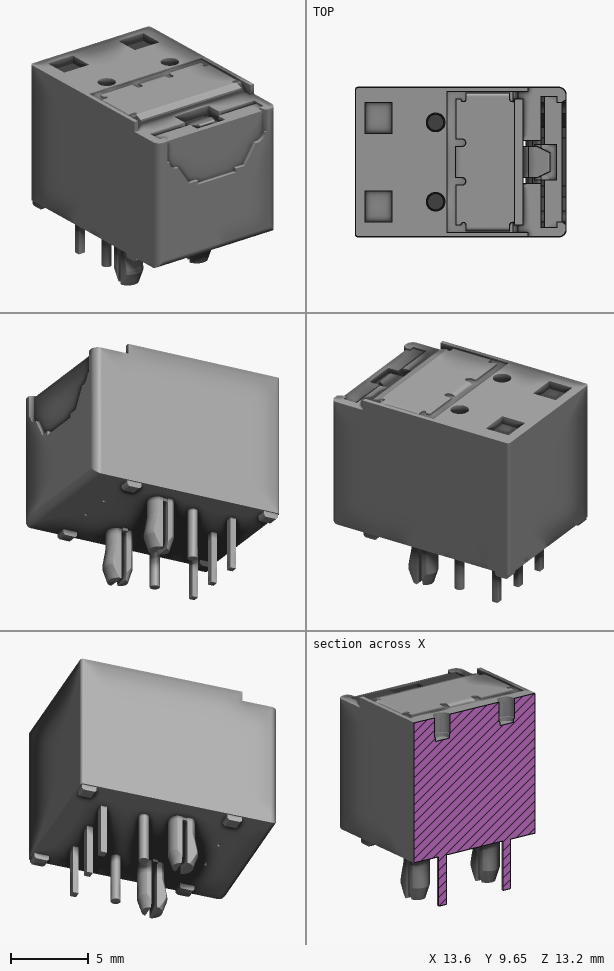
import cadquery as cq


LENGTH = 13.6
WIDTH = 9.65
TOP = 9.62
DECK_DROP = 0.7
DECK = TOP - DECK_DROP
DECK_START = 11.14
REAR_RADIUS = 0.2
FRONT_RADIUS = 0.5

POCKET_START, POCKET_END = 0.64, 2.38
POCKET_INNER, POCKET_OUTER = 1.85, 3.85
POCKET_DEPTH = 0.55
PIN_ROW = 2.55
POST_X = 5.18
HOLE_DIAMETER, HOLE_DEPTH = 1.2, 1.36
INNER_HOLE_DIAMETER, INNER_HOLE_DEPTH = 1.05, 1.63

RECESS_START = 5.92
RECESS_HALF_WIDTH = 4.54
RECESS_RAMP_START, RECESS_RAMP_END = 10.16, 10.49
PLATE_THICKNESS = 0.14
PLATE_FLOOR = TOP - PLATE_THICKNESS
PLATE_START = 6.5
PLATE_HALF_WIDTH = 4.07
PLATE_BEND_START, PLATE_BEND_END = 10.27, 10.38
PLATE_BEND_DROP = 0.04
PLATE_LIP_END = 10.83
PLATE_LIP_DROP = 0.18
SIDE_TAB_START, SIDE_TAB_END = 7.14, 9.95
SIDE_TAB_BEND, SIDE_TAB_TIP = 4.22, 4.45
SIDE_RELIEF_WIDTH = 0.33
SIDE_RELIEF_BOTTOM = 3.89
REAR_TAB_BEND, REAR_TAB_TIP = 6.84, 6.45
REAR_TAB_HALF_WIDTH = 1.0
REAR_RELIEF_WIDTH = 0.48
REAR_RELIEF_END = 7.13

PANEL_DROP = 0.14
PANEL_TOP = DECK - PANEL_DROP
OPENING_START = 11.98
OPENING_STEP = 13.02
OPENING_HALF_WIDTH = 4.22
MOUTH_HALF_WIDTH = 3.85
MOUTH_FLARE = 0.18
PANEL_START, PANEL_END = 12.21, 13.33
GAP_SHELF = 6.8
GAP_STEP = 5.44
GAP_FLOOR = 5.17
GAP_FILLET = 0.58
GAP_SLOPE_OUTER, GAP_SLOPE_INNER = 3.14, 2.25
GAP_TRENCH_HALF_WIDTH = 1.54
CHANNEL_START = PLATE_LIP_END
CHANNEL_HALF_WIDTH = 1.39
CHANNEL_FLOOR = 7.48
CHANNEL_STEP_HEIGHT = 0.2
CHANNEL_STEPS = (11.14, 11.41)
CHANNEL_HOLE_END = 11.0
NOTCH_END = 12.96
NOTCH_HALF_WIDTH = 1.14
NOTCH_DEPTH = 0.41
NOTCH_FLOOR = PANEL_TOP - NOTCH_DEPTH
SHOULDER_START, SHOULDER_END = 11.53, 12.1
TONGUE_START, TONGUE_SHOULDER, TONGUE_TIP = 11.15, 11.74, 12.55
TONGUE_ROOT_Z, TONGUE_TIP_Z = 8.38, 8.77
TONGUE_ROOT_STEP = 0.08
TONGUE_HALF_WIDTH = REAR_TAB_HALF_WIDTH
TONGUE_TIP_HALF_WIDTH = 0.6
TONGUE_TIP_RADIUS = 0.1

PIN_LENGTH = 3.54
PIN_X, PIN_THICKNESS, PIN_WIDTH = 2.34, 0.41, 0.5
POST_DIAMETER, POST_LENGTH = 0.65, 3.39
FOOT_HEIGHT, FOOT_CHAMFER = 0.38, 0.12
FOOT_LENGTH, FOOT_WIDTH = 1.0, 0.79
FOOT_INSET = 0.11
PEG_X, PEG_Y = 7.68, 2.79
PEG_DIAMETER = 1.65
PEG_SPREAD = 0.05
PEG_FLAT_WIDTH = 1.36
PEG_LENGTH = 3.5
PEG_SLOT = 0.37
PEG_TIP_TAPER_START = 2.6
PEG_REAR_TIP_RADIUS = 0.55
PEG_BARB_START, PEG_BARB_FULL = 1.18, 2.35
PEG_BARB_RADIUS, PEG_FRONT_TIP_RADIUS = 1.02, 0.72
WEB_HEIGHT, WEB_FILLET = 0.19, 0.11
WEB_SETBACK = 0.07
WEB_INNER_Y = 1.89

SIDES = (-1, 1)


def box(x0, x1, y0, y1, z0, z1):
    """Box between opposite corners; each pair may be given in either order."""
    size = (abs(x1 - x0), abs(y1 - y0), abs(z1 - z0))
    centre = ((x0 + x1) / 2, (y0 + y1) / 2, (z0 + z1) / 2)
    return cq.Workplane("XY").box(*size).translate(centre)


def extrude_across(points, half_width):
    """Extrude an XZ outline symmetrically about the middle of the width."""
    return cq.Workplane("XZ").polyline(points).close().extrude(half_width, both=True)


def cylinder(x, y, top, diameter, depth):
    """Upright cylinder that reaches down from its top level."""
    return cq.Workplane("XY", origin=(x, y, top - depth)).circle(diameter / 2).extrude(depth)


def make_housing():
    body = box(0, LENGTH, -WIDTH / 2, WIDTH / 2, 0, TOP)
    body = body.edges("|Z and <X").fillet(REAR_RADIUS)
    body = body.edges("|Z and >X").fillet(FRONT_RADIUS)
    side_shape = box(0, LENGTH, -WIDTH / 2, WIDTH / 2, 0, TOP)
    side_shape = side_shape.edges(">X and <Z").fillet(FRONT_RADIUS)
    body = body.intersect(side_shape)
    return body.cut(box(DECK_START, LENGTH, -WIDTH / 2, WIDTH / 2, DECK, TOP))


def cut_rear_openings(body):
    for side in SIDES:
        body = body.cut(box(POCKET_START, POCKET_END, side * POCKET_INNER, side * POCKET_OUTER,
                            TOP - POCKET_DEPTH, TOP))
        y = side * PIN_ROW
        body = body.cut(cylinder(POST_X, y, TOP, HOLE_DIAMETER, HOLE_DEPTH))
        body = body.cut(cylinder(POST_X, y, TOP, INNER_HOLE_DIAMETER, INNER_HOLE_DEPTH))
    return body


def make_recess():
    """Shallow pocket for the plate, with a ramp from its floor down to the deck level."""
    outline = [
        (RECESS_START, TOP), (RECESS_START, PLATE_FLOOR), (RECESS_RAMP_START, PLATE_FLOOR),
        (RECESS_RAMP_END, DECK), (DECK_START, DECK), (DECK_START, TOP),
    ]
    return extrude_across(outline, RECESS_HALF_WIDTH)


def make_tab(plane, bend, tip, length):
    """Plate edge that curls down, tangent to the plate at the bend, to the recess floor."""
    reach = tip - bend
    return (
        cq.Workplane(plane).moveTo(bend - reach, TOP).lineTo(bend, TOP)
        .tangentArcPoint((tip, PLATE_FLOOR), relative=False)
        .lineTo(bend - reach, PLATE_FLOOR).close().extrude(length / 2, both=True)
    )


def make_plate():
    outline = [
        (PLATE_START, PLATE_FLOOR), (PLATE_START, TOP), (PLATE_BEND_START, TOP),
        (PLATE_BEND_END, TOP - PLATE_BEND_DROP), (PLATE_LIP_END, TOP - PLATE_LIP_DROP),
        (PLATE_LIP_END, PLATE_FLOOR - PLATE_LIP_DROP), (RECESS_RAMP_START, PLATE_FLOOR),
    ]
    plate = extrude_across(outline, PLATE_HALF_WIDTH)

    tab_length = SIDE_TAB_END - SIDE_TAB_START
    tab_middle = (SIDE_TAB_START + SIDE_TAB_END) / 2
    side_tab = make_tab("YZ", SIDE_TAB_BEND, SIDE_TAB_TIP, tab_length).translate((tab_middle, 0, 0))
    plate = plate.union(side_tab).union(side_tab.mirror("XZ"))

    radius = SIDE_RELIEF_WIDTH / 2
    for side in SIDES:
        for x in (SIDE_TAB_START - radius, SIDE_TAB_END + radius):
            y = side * (SIDE_RELIEF_BOTTOM + radius)
            plate = plate.cut(cylinder(x, y, TOP, SIDE_RELIEF_WIDTH, PLATE_THICKNESS))
            plate = plate.cut(box(x - radius, x + radius, y, side * SIDE_TAB_TIP, PLATE_FLOOR, TOP))

    radius = REAR_RELIEF_WIDTH / 2
    slot_end = REAR_RELIEF_END - radius
    tab_zone = REAR_TAB_HALF_WIDTH + radius
    plate = plate.cut(box(PLATE_START, REAR_TAB_BEND, -tab_zone, tab_zone, PLATE_FLOOR, TOP))
    plate = plate.union(make_tab("XZ", REAR_TAB_BEND, REAR_TAB_TIP, 2 * REAR_TAB_HALF_WIDTH))
    for side in SIDES:
        y = side * tab_zone
        plate = plate.cut(cylinder(slot_end, y, TOP, REAR_RELIEF_WIDTH, PLATE_THICKNESS))
        plate = plate.cut(box(PLATE_START, slot_end, y - radius, y + radius, PLATE_FLOOR, TOP))
    return plate


def make_gap(x0, x1):
    """Deep slot across the mating end with a shelf, a slope and a trench towards the middle."""
    fillet_end = MOUTH_HALF_WIDTH - GAP_FILLET
    half = (
        cq.Workplane("YZ", origin=(x0, 0, 0))
        .moveTo(0, DECK).lineTo(MOUTH_HALF_WIDTH, DECK)
        .lineTo(MOUTH_HALF_WIDTH, GAP_SHELF + GAP_FILLET)
        .tangentArcPoint((fillet_end, GAP_SHELF), relative=False)
        .lineTo(GAP_SLOPE_OUTER, GAP_SHELF).lineTo(GAP_SLOPE_INNER, GAP_STEP)
        .lineTo(GAP_TRENCH_HALF_WIDTH, GAP_STEP).lineTo(GAP_TRENCH_HALF_WIDTH, GAP_FLOOR)
        .lineTo(0, GAP_FLOOR).close().extrude(x1 - x0)
    )
    return half.union(half.mirror("XZ"))


def make_mouth_flare():
    """Upright prism that widens the mouth towards the end face."""
    flared = MOUTH_HALF_WIDTH + MOUTH_FLARE
    plan = [
        (PANEL_END, -MOUTH_HALF_WIDTH), (LENGTH, -flared), (LENGTH, flared),
        (PANEL_END, MOUTH_HALF_WIDTH),
    ]
    bottom = GAP_SHELF + GAP_FILLET
    return cq.Workplane("XY", origin=(0, 0, bottom)).polyline(plan).close().extrude(DECK - bottom)


def cut_mating_end(body):
    body = body.cut(box(OPENING_START, OPENING_STEP, -OPENING_HALF_WIDTH, OPENING_HALF_WIDTH,
                        PANEL_TOP, DECK))
    body = body.cut(box(OPENING_STEP, LENGTH, -MOUTH_HALF_WIDTH, MOUTH_HALF_WIDTH, PANEL_TOP, DECK))
    centre_block = box(OPENING_START, PANEL_START, -NOTCH_HALF_WIDTH, NOTCH_HALF_WIDTH, 0, DECK)
    body = body.cut(make_gap(OPENING_START, PANEL_START).cut(centre_block))
    for side in SIDES:
        body = body.cut(box(OPENING_START, PANEL_START, side * MOUTH_HALF_WIDTH,
                            side * OPENING_HALF_WIDTH, GAP_SHELF + GAP_FILLET, DECK))
    body = body.cut(make_gap(PANEL_END, LENGTH)).cut(make_mouth_flare())

    starts = (CHANNEL_START,) + CHANNEL_STEPS
    ends = CHANNEL_STEPS + (OPENING_START,)
    for level, (start, end) in enumerate(zip(starts, ends)):
        floor = CHANNEL_FLOOR + level * CHANNEL_STEP_HEIGHT
        body = body.cut(box(start, end, -CHANNEL_HALF_WIDTH, CHANNEL_HALF_WIDTH, floor, DECK))
    for side in SIDES:
        body = body.cut(box(CHANNEL_START, CHANNEL_HOLE_END, side * TONGUE_HALF_WIDTH,
                            side * CHANNEL_HALF_WIDTH, 0, DECK))
    return body.cut(box(OPENING_START, NOTCH_END, -NOTCH_HALF_WIDTH, NOTCH_HALF_WIDTH,
                        NOTCH_FLOOR, DECK))


def make_latch():
    """Rising tongue with a tapered tip, on a rounded shoulder in front of the notch."""
    shoulder = box(SHOULDER_START, PANEL_START, -NOTCH_HALF_WIDTH, NOTCH_HALF_WIDTH,
                   CHANNEL_FLOOR, NOTCH_FLOOR)
    shoulder = shoulder.edges("<X and >Z").fillet(SHOULDER_END - SHOULDER_START)

    root_z = TONGUE_ROOT_Z - TONGUE_ROOT_STEP
    side_view = [
        (CHANNEL_START, CHANNEL_FLOOR), (CHANNEL_START, root_z), (TONGUE_START, root_z),
        (TONGUE_START, TONGUE_ROOT_Z), (TONGUE_TIP, TONGUE_TIP_Z), (TONGUE_TIP, CHANNEL_FLOOR),
    ]
    plan = [
        (CHANNEL_START, -TONGUE_HALF_WIDTH), (TONGUE_SHOULDER, -TONGUE_HALF_WIDTH),
        (TONGUE_TIP, -TONGUE_TIP_HALF_WIDTH), (TONGUE_TIP, TONGUE_TIP_HALF_WIDTH),
        (TONGUE_SHOULDER, TONGUE_HALF_WIDTH), (CHANNEL_START, TONGUE_HALF_WIDTH),
    ]
    tongue = extrude_across(side_view, TONGUE_HALF_WIDTH)
    tongue = tongue.intersect(cq.Workplane("XY").polyline(plan).close().extrude(TOP))
    tongue = tongue.faces(">X").edges(">Z").fillet(TONGUE_TIP_RADIUS)
    return shoulder.union(tongue)


def make_pin(x, y):
    return box(x - PIN_THICKNESS / 2, x + PIN_THICKNESS / 2, y - PIN_WIDTH / 2, y + PIN_WIDTH / 2,
               -PIN_LENGTH, 0)


def make_foot(start, side):
    outer = side * (WIDTH / 2 - FOOT_INSET)
    foot = box(start, start + FOOT_LENGTH, outer, outer - side * FOOT_WIDTH, -FOOT_HEIGHT, 0)
    return foot.edges("|Y and <Z").chamfer(FOOT_CHAMFER)


def make_peg_half(profile, direction):
    """Half of a turned peg, shifted outward; the profile lists radius and height."""
    outline = [(0, 0)] + profile + [(0, -PEG_LENGTH)]
    turned = cq.Workplane("XZ").polyline(outline).close().revolve(360, (0, 0), (0, 1))
    half = turned.intersect(box(0, direction * PEG_DIAMETER, -PEG_FLAT_WIDTH / 2,
                                PEG_FLAT_WIDTH / 2, -PEG_LENGTH, 0))
    return half.translate((direction * PEG_SPREAD, 0, 0))


def make_peg(side):
    """Split snap-in peg; only its front half has a barb."""
    radius = PEG_DIAMETER / 2
    rear = make_peg_half(
        [(radius, 0), (radius, -PEG_TIP_TAPER_START), (PEG_REAR_TIP_RADIUS, -PEG_LENGTH)], -1)
    front = make_peg_half(
        [(radius, 0), (radius, -PEG_BARB_START), (PEG_BARB_RADIUS, -PEG_BARB_FULL),
         (PEG_BARB_RADIUS, -PEG_TIP_TAPER_START), (PEG_FRONT_TIP_RADIUS, -PEG_LENGTH)], 1)
    half_slot = PEG_SLOT / 2
    half_flat = PEG_FLAT_WIDTH / 2
    slot = box(-half_slot, half_slot, -half_flat, half_flat, -PEG_LENGTH, 0)
    slot_roof = box(-half_slot, half_slot, -half_flat, half_flat, -PEG_LENGTH, -WEB_HEIGHT)
    slot_roof = slot_roof.edges("|Y and >Z").fillet(WEB_FILLET)
    half_web = half_flat - WEB_SETBACK
    bridge = box(-half_slot, half_slot, -half_web, half_web, -WEB_HEIGHT - WEB_FILLET, 0)
    web = box(-half_slot, half_slot, 0, side * (WEB_INNER_Y - PEG_Y), -WEB_HEIGHT, 0)
    peg = rear.union(front).cut(slot).union(bridge.cut(slot_roof)).union(web)
    return peg.translate((PEG_X, side * PEG_Y, 0))


result = cut_rear_openings(make_housing()).cut(make_recess()).union(make_plate())
result = cut_mating_end(result).union(make_latch())

for pin_y in (-PIN_ROW, 0, PIN_ROW):
    result = result.union(make_pin(PIN_X, pin_y))
for side in SIDES:
    post = cylinder(POST_X, side * PIN_ROW, 0, POST_DIAMETER, POST_LENGTH)
    result = result.union(post).union(make_peg(side))
    for foot_start in (FOOT_INSET, DECK_START - FOOT_LENGTH):
        result = result.union(make_foot(foot_start, side))